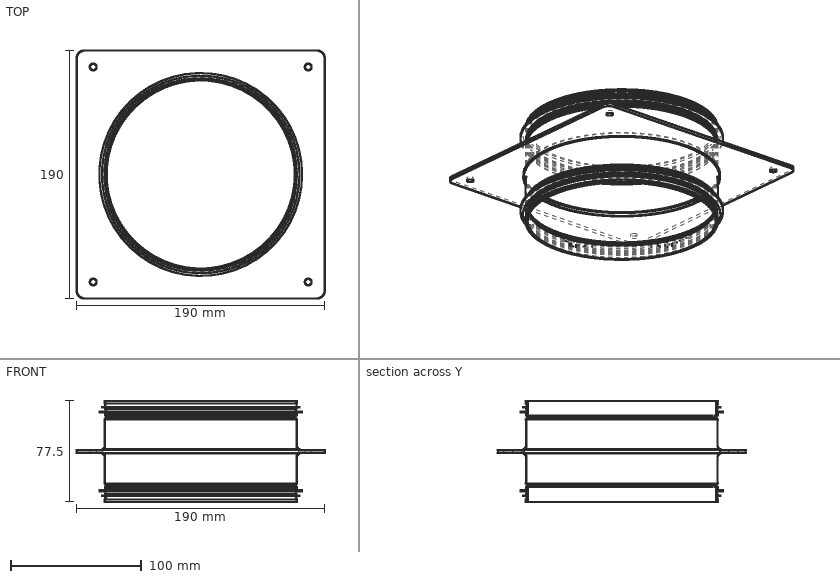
import cadquery as cq
import math

plate_side = 190.0
plate_thickness = 2.3
corner_radius = 6.3
hole_diameter = 5.0
hole_spacing = 164.5

total_height = 77.5
tube_outer_d = 147.2
tube_inner_d = 146.1
neck_outer_d = 145.4
neck_inner_d = 144.0
step_bottom = 24.3
step_top = 25.8

bead_outer_d = 150.9
bead_crest_z = 1.7
bead_end_z = 5.1

rim_height = 1.9
seal_bottom = 27.4
seal_foot_top = 28.1
seal_waist_top = 32.5
seal_foot_d = 147.0
seal_waist_d = 146.1
seal_body_d = 146.7
small_lip_d = 151.2
small_lip_z = 33.8
small_lip_thickness = 0.5
large_lip_d = 155.2
large_lip_z = 30.2
large_lip_thickness = 1.1

half_height = total_height / 2
wall = (tube_outer_d - tube_inner_d) / 2
bead_inner_d = bead_outer_d - 2 * wall
plate_bore_d = bead_outer_d - wall


def make_plate():
    plate = (
        cq.Workplane("XY").box(plate_side, plate_side, plate_thickness)
        .edges("|Z").fillet(corner_radius)
    )
    plate = (
        plate.faces(">Z").workplane()
        .rect(hole_spacing, hole_spacing, forConstruction=True).vertices().hole(hole_diameter)
    )
    return plate.faces(">Z").workplane().hole(plate_bore_d)


def flare_middle(tube_d, bead_d):
    """Middle point of the concave flare arc between tube and bead."""
    reach = 1 - math.sqrt(0.5)
    radius = tube_d / 2 + (bead_d - tube_d) / 2 * reach
    height = bead_crest_z + (bead_end_z - bead_crest_z) * reach
    return (radius, height)


def lip_points(lip_d, lip_z, thickness, lower_d, upper_d):
    """Outline of one thin lip, from its lower root to its upper root."""
    bottom = lip_z - thickness / 2
    top = lip_z + thickness / 2
    return [(lower_d / 2, bottom), (lip_d / 2, bottom), (lip_d / 2, top), (upper_d / 2, top)]


def make_half_duct():
    """Revolved upper half: bead, straight tube, stepped neck, seal and rim."""
    rim_bottom = half_height - rim_height
    seal_outline = [
        (neck_outer_d / 2, seal_bottom),
        (seal_foot_d / 2, seal_bottom),
        (seal_foot_d / 2, seal_foot_top),
        (seal_waist_d / 2, seal_foot_top),
        *lip_points(large_lip_d, large_lip_z, large_lip_thickness, seal_waist_d, seal_waist_d),
        (seal_waist_d / 2, seal_waist_top),
        (seal_body_d / 2, seal_waist_top),
        *lip_points(small_lip_d, small_lip_z, small_lip_thickness, seal_body_d, seal_body_d),
        (seal_body_d / 2, rim_bottom),
    ]
    profile = (
        cq.Workplane("XZ")
        .moveTo(bead_inner_d / 2, 0)
        .lineTo(bead_outer_d / 2, 0)
        .lineTo(bead_outer_d / 2, bead_crest_z)
        .threePointArc(flare_middle(tube_outer_d, bead_outer_d), (tube_outer_d / 2, bead_end_z))
        .lineTo(tube_outer_d / 2, step_bottom)
        .lineTo(neck_outer_d / 2, step_top)
        .polyline(seal_outline, includeCurrent=True)
        .lineTo(tube_outer_d / 2, rim_bottom)
        .lineTo(tube_outer_d / 2, half_height)
        .lineTo(neck_inner_d / 2, half_height)
        .lineTo(neck_inner_d / 2, step_top)
        .lineTo(tube_inner_d / 2, step_bottom)
        .lineTo(tube_inner_d / 2, bead_end_z)
        .threePointArc(flare_middle(tube_inner_d, bead_inner_d), (bead_inner_d / 2, bead_crest_z))
        .close()
    )
    return profile.revolve(360, (0, 0), (0, 1))


upper_duct = make_half_duct()
lower_duct = upper_duct.mirror("XY")
result = upper_duct.union(lower_duct).union(make_plate())